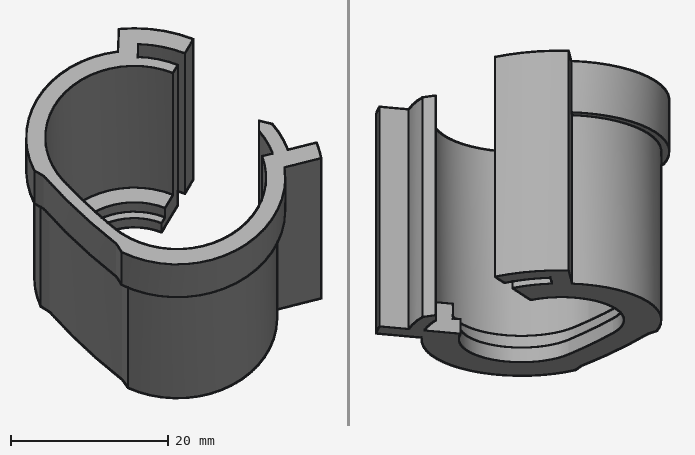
import cadquery as cq
import math

height = 30.0
collar_height = 7.0
lip_height = 2.0
seat_height = 4.0

center_x = 4.18
step = 1.0
body_radius = 12.72
collar_radius = body_radius + step
bore_radius = 11.3
lip_radius = 7.95
seat_radius = lip_radius + step

bow_center_y = 67.23
collar_bow_radius = 80.25
facet_outer_x = 8.5
facet_inner_x = 7.05

mouth_angle = 66.6
arm_thickness = 2.55
tongue_inner_radius = body_radius
tongue_outer_radius = body_radius + 2 * step
tongue_shoulder_angle = 84.3
tongue_tip_angle = 90.2
post_radius = 18.57
hook_slot_radius = tongue_outer_radius
hook_outer_radius = 17.25
hook_slot_end_angle = 42.7
reach = 21.8


def polar(radius, angle):
    """Point at an angle in degrees around the right-hand end centre."""
    turn = math.radians(angle)
    return (center_x + radius * math.cos(turn), radius * math.sin(turn))


def mirrored(point):
    return (-point[0], point[1])


def bow_y(radius, x):
    return bow_center_y - math.sqrt(radius**2 - x**2)


def rounded_prism(radius, tall):
    """Two round ends joined smoothly by a bowed wall."""
    center_distance = math.hypot(center_x, bow_center_y)
    bow_radius = center_distance + radius
    join_x = center_x * bow_radius / center_distance
    join = (join_x, bow_y(bow_radius, join_x))
    return (
        cq.Workplane("XY")
        .moveTo(-center_x, radius)
        .lineTo(center_x, radius)
        .threePointArc((center_x + radius, 0), join)
        .threePointArc((0, bow_y(bow_radius, 0)), mirrored(join))
        .threePointArc((-center_x - radius, 0), (-center_x, radius))
        .close()
        .extrude(tall)
    )


def faceted_prism(radius, bow_radius, tall):
    """Two round ends joined by facets and a bowed wall."""
    corner = (facet_outer_x, -math.sqrt(radius**2 - (facet_outer_x - center_x) ** 2))
    bow_end = (facet_inner_x, bow_y(bow_radius, facet_inner_x))
    return (
        cq.Workplane("XY")
        .moveTo(-center_x, radius)
        .lineTo(center_x, radius)
        .threePointArc((center_x + radius, 0), corner)
        .lineTo(*bow_end)
        .threePointArc((0, bow_y(bow_radius, 0)), mirrored(bow_end))
        .lineTo(*mirrored(corner))
        .threePointArc((-center_x - radius, 0), (-center_x, radius))
        .close()
        .extrude(tall)
    )


def edge_point(radius, angle):
    """Point on a circle, on the line arm_thickness clockwise of a radial line."""
    return polar(radius, angle - math.degrees(math.asin(arm_thickness / radius)))


def shell():
    """Clip body with its collar, before the bore is cut."""
    body = faceted_prism(body_radius, collar_bow_radius - step, height)
    collar = faceted_prism(collar_radius, collar_bow_radius, collar_height)
    collar = collar.translate((0, 0, height - collar_height))
    slot_room = (
        cq.Workplane("XY")
        .polyline([
            mirrored(polar(0, 0)),
            mirrored(polar(reach, hook_slot_end_angle)),
            mirrored(polar(reach, mouth_angle)),
        ])
        .close()
        .extrude(height)
    )
    return body.union(collar.cut(slot_room))


def mouth():
    return (
        cq.Workplane("XY")
        .polyline([
            polar(0, 0),
            polar(reach, mouth_angle),
            mirrored(polar(reach, mouth_angle)),
            mirrored(polar(0, 0)),
        ])
        .close()
        .extrude(height)
    )


def post():
    """Straight rib, flush with the right-hand mouth face."""
    mid_angle = mouth_angle - math.degrees(math.asin(arm_thickness / post_radius)) / 2
    return (
        cq.Workplane("XY")
        .moveTo(*polar(bore_radius, mouth_angle))
        .lineTo(*polar(post_radius, mouth_angle))
        .threePointArc(polar(post_radius, mid_angle), edge_point(post_radius, mouth_angle))
        .lineTo(*edge_point(bore_radius, mouth_angle))
        .close()
        .extrude(height)
        .cut(rounded_prism(bore_radius, height))
    )


def tongue():
    """Curved, pointed tongue that enters the hook's slot."""
    root_angle = mouth_angle - 2
    mid_angle = (root_angle + tongue_shoulder_angle) / 2
    tip_radius = (tongue_inner_radius + tongue_outer_radius) / 2
    return (
        cq.Workplane("XY")
        .moveTo(*polar(tongue_inner_radius, root_angle))
        .threePointArc(
            polar(tongue_inner_radius, mid_angle),
            polar(tongue_inner_radius, tongue_shoulder_angle),
        )
        .lineTo(*polar(tip_radius, tongue_tip_angle))
        .lineTo(*polar(tongue_outer_radius, tongue_shoulder_angle))
        .threePointArc(
            polar(tongue_outer_radius, mid_angle),
            polar(tongue_outer_radius, root_angle),
        )
        .close()
        .extrude(height)
    )


def hook():
    """Curved arm that leaves a slot outside the left-hand round end."""
    mid_angle = (hook_slot_end_angle + mouth_angle) / 2
    return (
        cq.Workplane("XY")
        .moveTo(*mirrored(polar(bore_radius, hook_slot_end_angle)))
        .lineTo(*mirrored(polar(hook_slot_radius, hook_slot_end_angle)))
        .threePointArc(
            mirrored(polar(hook_slot_radius, mid_angle)),
            mirrored(polar(hook_slot_radius, mouth_angle)),
        )
        .lineTo(*mirrored(polar(hook_outer_radius, mouth_angle)))
        .threePointArc(
            mirrored(polar(hook_outer_radius, mid_angle)),
            mirrored(edge_point(hook_outer_radius, hook_slot_end_angle)),
        )
        .lineTo(*mirrored(edge_point(bore_radius, hook_slot_end_angle)))
        .close()
        .extrude(height)
        .cut(rounded_prism(bore_radius, height))
    )


def bore():
    """Bore that narrows in two steps near the bottom."""
    lip = rounded_prism(lip_radius, height)
    seat = rounded_prism(seat_radius, height - lip_height).translate((0, 0, lip_height))
    main = rounded_prism(bore_radius, height - seat_height).translate((0, 0, seat_height))
    return lip.union(seat).union(main)


result = shell().cut(bore()).cut(mouth())
for part in (post(), tongue(), hook()):
    result = result.union(part)